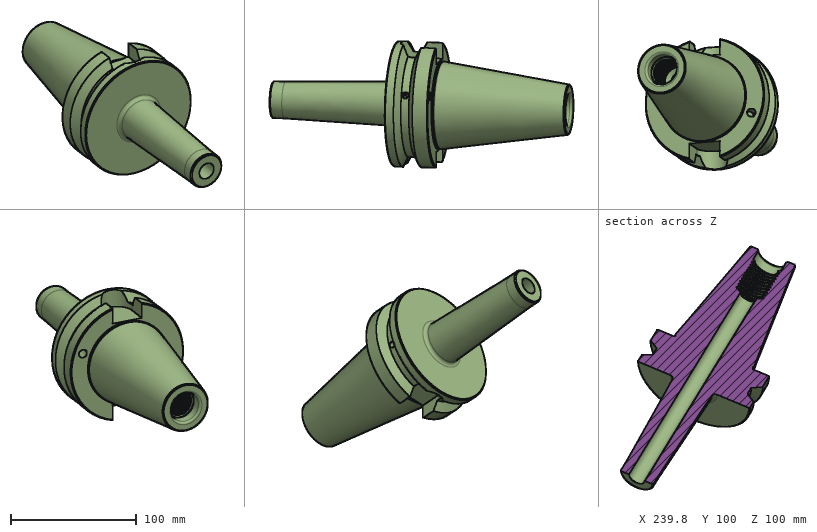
import cadquery as cq
import math

TAPER_LENGTH = 101.8
NOSE_LENGTH = 138.0
REAR_X = -TAPER_LENGTH

GAUGE_RADIUS = 69.85 / 2
TAPER_SLOPE = 7 / 24 / 2
REAR_CHAMFER = 0.8
TAPER_END_X = 0.6
RELIEF_START_X = 1.3
RELIEF_END_X = 2.3
RELIEF_RADIUS = 34.5

FLANGE_RADIUS = 50.0
FLANGE_REAR_X = 3.0
FLANGE_FRONT_X = 38.0
FLANGE_CHAMFER = 0.8
GROOVE_CENTER_X = 23.0
GROOVE_FLOOR_WIDTH = 6.4
GROOVE_FLOOR_RADIUS = 42.3
GROOVE_HALF_ANGLE = 30.0

NOSE_FILLET = 3.0
NOSE_ROOT_RADIUS = 17.7
NOSE_TIP_RADIUS = 14.75
NOSE_STRAIGHT_LENGTH = 10.0
NOSE_CHAMFER = 1.0

MOUTH_FILLET = 2.0
PILOT_RADIUS = 12.2
PILOT_END_DEPTH = 10.0
THREAD_MINOR_RADIUS = 10.5
THREAD_MAJOR_RADIUS = 12.0
THREAD_PITCH = 3.0
THREAD_TURNS = 10
THREAD_FLANK_ANGLE = 30.0
THREAD_TIP_HALF_ANGLE = 60.0
THROUGH_RADIUS = 6.85

SLOT_WIDTH = 25.7
SLOT_FLOOR_Z = 35.4
SLOT_END_X = 34.0

COOLANT_ANGLE = 20.0
DUCT_RADIUS = 3.3
DUCT_ENTRY_RADIUS = 41.8
DUCT_TILT = 24.0
DUCT_LENGTH = 25.0
RADIAL_HOLE_RADIUS = 2.5
RADIAL_HOLE_BOTTOM = 33.0


def tan_deg(angle):
    return math.tan(math.radians(angle))


def make_body():
    """Revolve the outer profile about the X axis."""
    rear_radius = GAUGE_RADIUS - TAPER_SLOPE * TAPER_LENGTH
    rear_chamfer_radius = rear_radius + TAPER_SLOPE * REAR_CHAMFER
    collar_radius = GAUGE_RADIUS + TAPER_SLOPE * TAPER_END_X
    floor_start = GROOVE_CENTER_X - GROOVE_FLOOR_WIDTH / 2
    floor_end = GROOVE_CENTER_X + GROOVE_FLOOR_WIDTH / 2
    flank = (FLANGE_RADIUS - GROOVE_FLOOR_RADIUS) * tan_deg(GROOVE_HALF_ANGLE)
    nose_root_x = FLANGE_FRONT_X + NOSE_FILLET
    fillet_center_radius = NOSE_ROOT_RADIUS + NOSE_FILLET
    fillet_offset = NOSE_FILLET * math.sqrt(0.5)

    profile = (
        cq.Workplane("XZ")
        .moveTo(REAR_X, 0)
        .lineTo(REAR_X, rear_radius - REAR_CHAMFER)
        .lineTo(REAR_X + REAR_CHAMFER, rear_chamfer_radius)
        .lineTo(TAPER_END_X, collar_radius)
        .lineTo(RELIEF_START_X, collar_radius)
        .lineTo(RELIEF_START_X, RELIEF_RADIUS)
        .lineTo(RELIEF_END_X, RELIEF_RADIUS)
        .lineTo(RELIEF_END_X, collar_radius)
        .lineTo(FLANGE_REAR_X, collar_radius)
        .lineTo(FLANGE_REAR_X, FLANGE_RADIUS - FLANGE_CHAMFER)
        .lineTo(FLANGE_REAR_X + FLANGE_CHAMFER, FLANGE_RADIUS)
        .lineTo(floor_start - flank, FLANGE_RADIUS)
        .lineTo(floor_start, GROOVE_FLOOR_RADIUS)
        .lineTo(floor_end, GROOVE_FLOOR_RADIUS)
        .lineTo(floor_end + flank, FLANGE_RADIUS)
        .lineTo(FLANGE_FRONT_X - FLANGE_CHAMFER, FLANGE_RADIUS)
        .lineTo(FLANGE_FRONT_X, FLANGE_RADIUS - FLANGE_CHAMFER)
        .lineTo(FLANGE_FRONT_X, fillet_center_radius)
        .threePointArc(
            (nose_root_x - fillet_offset, fillet_center_radius - fillet_offset),
            (nose_root_x, NOSE_ROOT_RADIUS),
        )
        .lineTo(NOSE_LENGTH - NOSE_STRAIGHT_LENGTH, NOSE_TIP_RADIUS)
        .lineTo(NOSE_LENGTH - NOSE_CHAMFER, NOSE_TIP_RADIUS)
        .lineTo(NOSE_LENGTH, NOSE_TIP_RADIUS - NOSE_CHAMFER)
        .lineTo(NOSE_LENGTH, 0)
        .close()
    )
    return profile.revolve(360, (0, 0, 0), (1, 0, 0))


def make_bore():
    """Pilot bore, thread bore and through bore as one revolved cutter."""
    mouth_radius = PILOT_RADIUS + MOUTH_FILLET
    fillet_offset = MOUTH_FILLET * math.sqrt(0.5)
    pilot_end_x = REAR_X + PILOT_END_DEPTH
    root_flat = THREAD_PITCH / 8
    flank = (THREAD_MAJOR_RADIUS - THREAD_MINOR_RADIUS) * tan_deg(THREAD_FLANK_ANGLE)
    crest_flat = THREAD_PITCH - root_flat - 2 * flank
    tip_length = (THREAD_MINOR_RADIUS - THROUGH_RADIUS) / tan_deg(THREAD_TIP_HALF_ANGLE)

    profile = (
        cq.Workplane("XZ")
        .moveTo(REAR_X, 0)
        .lineTo(REAR_X, mouth_radius)
        .threePointArc(
            (REAR_X + MOUTH_FILLET - fillet_offset, mouth_radius - fillet_offset),
            (REAR_X + MOUTH_FILLET, PILOT_RADIUS),
        )
        .lineTo(pilot_end_x, PILOT_RADIUS)
        .lineTo(pilot_end_x, THREAD_MAJOR_RADIUS)
    )
    for _ in range(THREAD_TURNS):
        profile = (
            profile.line(root_flat, 0)
            .line(flank, THREAD_MINOR_RADIUS - THREAD_MAJOR_RADIUS)
            .line(crest_flat, 0)
            .line(flank, THREAD_MAJOR_RADIUS - THREAD_MINOR_RADIUS)
        )
    profile = (
        profile.line(root_flat, 0)
        .line(flank, THREAD_MINOR_RADIUS - THREAD_MAJOR_RADIUS)
        .line(tip_length, THROUGH_RADIUS - THREAD_MINOR_RADIUS)
        .lineTo(NOSE_LENGTH, THROUGH_RADIUS)
        .lineTo(NOSE_LENGTH, 0)
        .close()
    )
    return profile.revolve(360, (0, 0, 0), (1, 0, 0))


def make_drive_slot():
    """Round-ended slot in the +Z side of the flange, open towards the shank."""
    end_radius = SLOT_WIDTH / 2
    arc_start_x = SLOT_END_X - end_radius
    return (
        cq.Workplane("XY", origin=(0, 0, SLOT_FLOOR_Z))
        .moveTo(0, -end_radius)
        .lineTo(arc_start_x, -end_radius)
        .threePointArc((SLOT_END_X, 0), (arc_start_x, end_radius))
        .lineTo(0, end_radius)
        .close()
        .extrude(FLANGE_RADIUS)
    )


def make_coolant_holes():
    """Slanted duct and radial groove hole on the +Y side, turned to their angle."""
    tilt = math.radians(DUCT_TILT)
    duct_direction = cq.Vector(math.cos(tilt), -math.sin(tilt), 0)
    duct_entry = cq.Vector(FLANGE_REAR_X, DUCT_ENTRY_RADIUS, 0)
    lead_in = DUCT_RADIUS
    duct = cq.Solid.makeCylinder(
        DUCT_RADIUS, DUCT_LENGTH + lead_in, duct_entry - duct_direction * lead_in, duct_direction
    )
    radial_hole = cq.Solid.makeCylinder(
        RADIAL_HOLE_RADIUS,
        FLANGE_RADIUS - RADIAL_HOLE_BOTTOM,
        cq.Vector(GROOVE_CENTER_X, RADIAL_HOLE_BOTTOM, 0),
        cq.Vector(0, 1, 0),
    )
    holes = cq.Workplane(obj=duct).union(cq.Workplane(obj=radial_hole))
    return holes.rotate((0, 0, 0), (1, 0, 0), COOLANT_ANGLE)


result = make_body().cut(make_bore())
for half_turn in (0, 180):
    for cutter in (make_drive_slot(), make_coolant_holes()):
        result = result.cut(cutter.rotate((0, 0, 0), (1, 0, 0), half_turn))